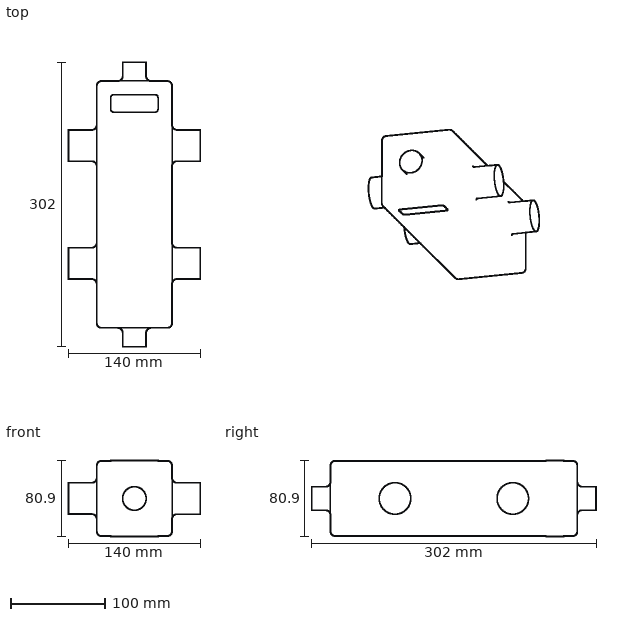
import cadquery as cq

overall_length = 302.0
overall_width = 140.0

body_length = 262.0
body_side = 80.0
edge_radius = 5.0

side_pipe_diameter = 33.5
side_pipe_spacing = 125.0
end_pipe_diameter = 25.0
weld_radius = 5.0

plate_width = 50.0
plate_height = 18.5
plate_corner_radius = 3.0
plate_thickness = 0.45
plate_center_y = 107.2


def make_body():
    """Rounded block centred on the origin."""
    return cq.Workplane("XY").box(body_side, body_length, body_side).edges().fillet(edge_radius)


def make_stub(diameter, length):
    """Pipe stub along +Z from the plane Z = 0, with a concave weld flare at its foot."""
    radius = diameter / 2
    arc_offset = weld_radius * (1 - 0.5 ** 0.5)
    profile = (
        cq.Workplane("XZ")
        .lineTo(radius + weld_radius, 0)
        .threePointArc((radius + arc_offset, arc_offset), (radius, weld_radius))
        .lineTo(radius, length)
        .lineTo(0, length)
        .close()
    )
    return profile.revolve(360, (0, 0, 0), (0, 1, 0))


def make_side_stubs():
    """Two opposite pairs of stubs on the -X and +X faces."""
    stub = make_stub(side_pipe_diameter, (overall_width - body_side) / 2)
    stub = stub.translate((0, 0, body_side / 2))
    stubs = []
    for tilt in (-90, 90):
        for y in (-side_pipe_spacing / 2, side_pipe_spacing / 2):
            stubs.append(stub.rotate((0, 0, 0), (0, 1, 0), tilt).translate((0, y, 0)))
    return stubs


def make_end_stubs():
    """One stub on each end face."""
    stub = make_stub(end_pipe_diameter, (overall_length - body_length) / 2)
    stub = stub.translate((0, 0, body_length / 2))
    stubs = []
    for tilt in (-90, 90):
        stubs.append(stub.rotate((0, 0, 0), (1, 0, 0), tilt))
    return stubs


def make_name_plates():
    """Thin rounded plates standing proud of both faces, built as one bar through the body."""
    return (
        cq.Workplane("XY")
        .box(plate_width, plate_height, body_side + 2 * plate_thickness)
        .edges("|Z")
        .fillet(plate_corner_radius)
        .translate((0, plate_center_y, 0))
    )


result = make_body().union(make_name_plates())
for pipe_stub in make_side_stubs() + make_end_stubs():
    result = result.union(pipe_stub)